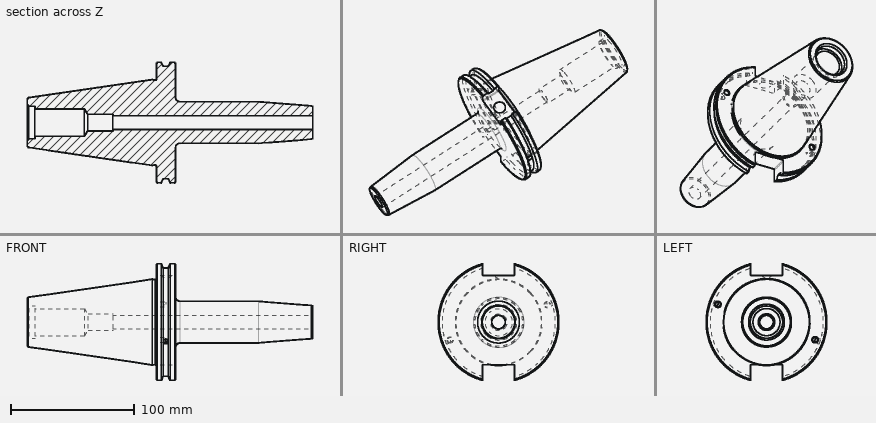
import cadquery as cq
import math

total_length = 231.5
taper_end = 101.5
relief_start = 102.8
flange_start = 104.7
flange_end = 120.5
nose_cone_start = 187.4

taper_large_diameter = 70.0
taper_ratio = 7 / 24
relief_diameter = 69.2
flange_diameter = 98.2
shank_diameter = 34.0
nose_diameter = 27.3

tail_chamfer = 1.0
flange_chamfer = 1.0
nose_chamfer_length = 1.5
nose_chamfer_depth = 0.58
root_fillet = 3.5
relief_fillet = 0.7

groove_center = 112.3
groove_top_width = 7.0
groove_floor_width = 4.2
groove_depth = 3.2

slot_width = 26.0
slot_corner_radius = 0.7
upper_slot_floor = 38.0
lower_slot_floor = 34.7
dimple_diameter = 9.5
drill_point_angle = 118.0

through_diameter = 11.0
relief_bore_diameter = 13.5
relief_bore_end = 69.5
thread_bore_diameter = 22.0
thread_bore_end = 46.3
pilot_diameter = 26.2
pilot_end = 6.3
countersink_diameter = 29.2
countersink_depth = 1.5

coolant_angle = 20.0
coolant_circle_radius = 42.0
axial_coolant_diameter = 4.2
coolant_mouth_diameter = 5.0
radial_coolant_diameter = 4.2


def cone_height(radius):
    """Height of a drill point of the given radius."""
    return radius / math.tan(math.radians(drill_point_angle / 2))


def revolve_about_x(profile):
    return profile.close().revolve(360, (0, 0, 0), (1, 0, 0))


def make_body():
    taper_large_radius = taper_large_diameter / 2
    tail_radius = taper_large_radius - taper_end * taper_ratio / 2
    tail_chamfer_radius = tail_radius + tail_chamfer * taper_ratio / 2
    relief_radius = relief_diameter / 2
    flange_radius = flange_diameter / 2
    groove_radius = flange_radius - groove_depth
    shank_radius = shank_diameter / 2
    nose_radius = nose_diameter / 2
    profile = (
        cq.Workplane("XY")
        .lineTo(0, tail_radius - tail_chamfer)
        .lineTo(tail_chamfer, tail_chamfer_radius)
        .lineTo(taper_end, taper_large_radius)
        .lineTo(relief_start, relief_radius)
        .lineTo(flange_start - relief_fillet, relief_radius)
        .radiusArc((flange_start, relief_radius + relief_fillet), -relief_fillet)
        .lineTo(flange_start, flange_radius - flange_chamfer)
        .lineTo(flange_start + flange_chamfer, flange_radius)
        .lineTo(groove_center - groove_top_width / 2, flange_radius)
        .lineTo(groove_center - groove_floor_width / 2, groove_radius)
        .lineTo(groove_center + groove_floor_width / 2, groove_radius)
        .lineTo(groove_center + groove_top_width / 2, flange_radius)
        .lineTo(flange_end - flange_chamfer, flange_radius)
        .lineTo(flange_end, flange_radius - flange_chamfer)
        .lineTo(flange_end, shank_radius + root_fillet)
        .radiusArc((flange_end + root_fillet, shank_radius), -root_fillet)
        .lineTo(nose_cone_start, shank_radius)
        .lineTo(total_length - nose_chamfer_length, nose_radius)
        .lineTo(total_length, nose_radius - nose_chamfer_depth)
        .lineTo(total_length, 0)
    )
    return revolve_about_x(profile)


def make_bore():
    thread_radius = thread_bore_diameter / 2
    relief_radius = relief_bore_diameter / 2
    thread_cone_end = thread_bore_end + cone_height(thread_radius - relief_radius)
    profile = (
        cq.Workplane("XY")
        .lineTo(0, countersink_diameter / 2)
        .lineTo(countersink_depth, pilot_diameter / 2)
        .lineTo(pilot_end, pilot_diameter / 2)
        .lineTo(pilot_end, thread_radius)
        .lineTo(thread_bore_end, thread_radius)
        .lineTo(thread_cone_end, relief_radius)
        .lineTo(relief_bore_end, relief_radius)
        .lineTo(relief_bore_end, through_diameter / 2)
        .lineTo(total_length, through_diameter / 2)
        .lineTo(total_length, 0)
    )
    return revolve_about_x(profile)


def make_slot(floor, side):
    """Rectangular slot across the flange; side is +1 above the axis, -1 below."""
    height = flange_diameter / 2 - floor
    return (
        cq.Workplane("XY")
        .box(flange_end - flange_start, slot_width, height, centered=(False, True, True))
        .edges("|X and " + ("<Z" if side > 0 else ">Z"))
        .fillet(slot_corner_radius)
        .translate((flange_start, 0, side * (floor + height / 2)))
    )


def make_dimple():
    """Conical drill spot in the upper slot floor."""
    radius = dimple_diameter / 2
    profile = (
        cq.Workplane("XZ")
        .moveTo(0, upper_slot_floor)
        .lineTo(radius, upper_slot_floor)
        .lineTo(0, upper_slot_floor - cone_height(radius))
        .close()
    )
    dimple_center = (flange_start + flange_end) / 2
    return profile.revolve(360, (0, 0, 0), (0, 1, 0)).translate((dimple_center, 0, 0))


def make_coolant_hole(angle):
    """Axial hole from the flange face, meeting a radial hole in the groove."""
    mouth_radius = coolant_mouth_diameter / 2
    hole_radius = axial_coolant_diameter / 2
    mouth_depth = mouth_radius - hole_radius
    hole_depth = groove_center - flange_start
    axial = (
        cq.Workplane("XY", origin=(flange_start, coolant_circle_radius, 0))
        .lineTo(0, mouth_radius)
        .lineTo(mouth_depth, hole_radius)
        .lineTo(hole_depth, hole_radius)
        .lineTo(hole_depth, 0)
    )
    axial = revolve_about_x(axial)
    radial = (
        cq.Workplane("XZ", origin=(groove_center, flange_diameter / 2, 0))
        .circle(radial_coolant_diameter / 2)
        .extrude(flange_diameter / 2 - coolant_circle_radius)
    )
    return axial.union(radial).rotate((0, 0, 0), (1, 0, 0), angle)


result = make_body().cut(make_bore())
for slot_floor, slot_side in ((upper_slot_floor, 1), (lower_slot_floor, -1)):
    result = result.cut(make_slot(slot_floor, slot_side))
result = result.cut(make_dimple())
for hole_angle in (coolant_angle, coolant_angle + 180):
    result = result.cut(make_coolant_hole(hole_angle))